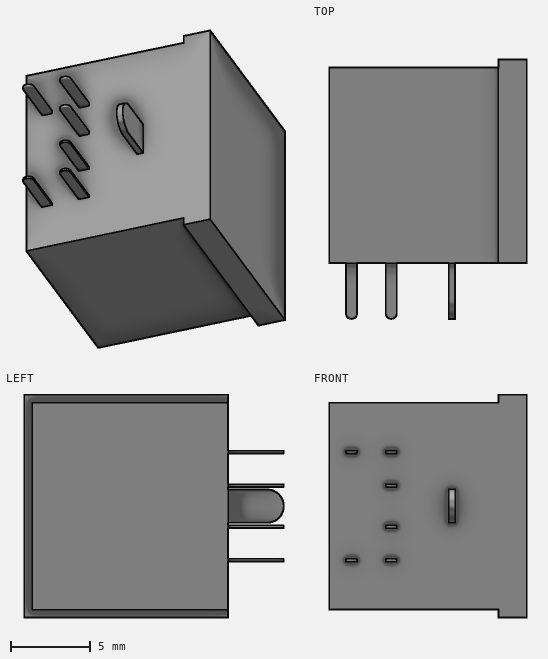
import cadquery as cq

overall_length = 12.4
flange_height = 14.0
flange_thickness = 1.8
housing_depth = 12.8
flange_step = 0.5

terminal_length = 3.5
pin_width = 0.7
pin_thickness = 0.2
front_pin_x = 1.4
rear_pin_x = 3.9
outer_pin_z = 3.39
inner_pin_z = 1.29
pin_edge_radius = 0.1

blade_x = 7.7
blade_width = 2.1
blade_thickness = 0.4


def make_housing():
    """Block stepped in from the flange on the +Y and both Z sides."""
    body_length = overall_length - flange_thickness
    body_depth = housing_depth - flange_step
    body_height = flange_height - 2 * flange_step
    body = cq.Workplane("XY").box(body_length, body_depth, body_height, centered=(False, False, True))
    flange = cq.Workplane("XY").box(
        flange_thickness, housing_depth, flange_height, centered=(False, False, True)
    )
    return body.union(flange.translate((body_length, 0, 0)))


def make_tab(width, thickness):
    """Flat tab along -Y with a semicircular tip, lying in the XY plane."""
    radius = width / 2
    straight_end = radius - terminal_length
    return (
        cq.Workplane("XY", origin=(0, 0, -thickness / 2))
        .moveTo(-radius, 0)
        .lineTo(-radius, straight_end)
        .threePointArc((0, -terminal_length), (radius, straight_end))
        .lineTo(radius, 0)
        .close()
        .extrude(thickness)
    )


result = make_housing()

pin = make_tab(pin_width, pin_thickness).faces("<Z").edges("not >Y").fillet(pin_edge_radius)
pin_positions = (
    (front_pin_x, outer_pin_z),
    (rear_pin_x, outer_pin_z),
    (rear_pin_x, inner_pin_z),
)
for pin_x, pin_z in pin_positions:
    upper_pin = pin.translate((pin_x, 0, pin_z))
    result = result.union(upper_pin).union(upper_pin.mirror("XY"))

blade = make_tab(blade_width, blade_thickness).rotate((0, 0, 0), (0, 1, 0), 90)
result = result.union(blade.translate((blade_x, 0, 0)))